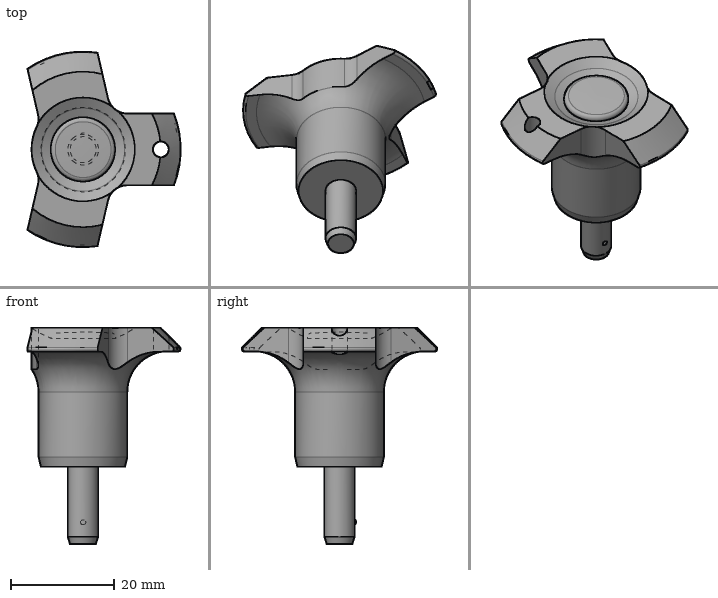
import cadquery as cq
import math

TOTAL_HEIGHT = 42.0
BODY_BOTTOM = 15.0
BODY_CHAMFER_TOP = 16.93
FLARE_START = 29.6
RIM_BOTTOM = 37.4

PIN_RADIUS = 3.0
PIN_TIP_RADIUS = 2.5
PIN_CHAMFER_HEIGHT = 1.45
BALL_RADIUS = 0.6
BALL_HEIGHT = 4.3
BALL_PROTRUSION = 0.25

BODY_RADIUS = 8.65
BODY_BOTTOM_RADIUS = 8.2
HANDLE_RADIUS = 19.005
RIM_ROUND = 0.5
HUB_RADIUS = 10.0
ARM_HALF_WIDTH = 6.995
ARM_ANGLE = math.radians(103)
ARM_FILLET = 3.8
HOLE_RADIUS = 1.5
HOLE_X = 15.1

DISH_RADIUS = 10.1
DISH_STEP_RADIUS = 8.05
DISH_STEP_DEPTH = 1.18
DISH_DEPTH = 2.0
BUTTON_RADIUS = 6.25
BUTTON_ROUND = 0.85
BUTTON_EDGE_DEPTH = 0.95
BUTTON_DOME = 0.15


def polar(radius, angle):
    return (radius * math.cos(angle), radius * math.sin(angle))


def arm_point(along, across, angle):
    """Point at a distance along an arm's axis and across it, to its left."""
    x = along * math.cos(angle) - across * math.sin(angle)
    y = along * math.sin(angle) + across * math.cos(angle)
    return (x, y)


def toward(start, end, distance):
    """Point at a distance from start on the way to end."""
    share = distance / math.dist(start, end)
    return tuple(a + (b - a) * share for a, b in zip(start, end))


def mirrored(point):
    return (point[0], -point[1])


def make_turned_body():
    """Body, flare and full round handle, with the dish and button on top."""
    flare_radius = RIM_BOTTOM - FLARE_START
    flare_center = BODY_RADIUS + flare_radius
    diagonal = math.sqrt(0.5)
    rim_x = HANDLE_RADIUS - RIM_ROUND
    rim_z = RIM_BOTTOM + RIM_ROUND
    bevel_x = rim_x + RIM_ROUND * diagonal
    bevel_z = rim_z + RIM_ROUND * diagonal
    top_radius = bevel_x - (TOTAL_HEIGHT - bevel_z)
    floor = TOTAL_HEIGHT - DISH_DEPTH
    button_edge = TOTAL_HEIGHT - BUTTON_EDGE_DEPTH
    button_flat = BUTTON_RADIUS - BUTTON_ROUND
    dome_radius = (button_flat**2 + BUTTON_DOME**2) / (2 * BUTTON_DOME)
    dome_middle = button_flat / 2
    dome_middle_z = button_edge + BUTTON_DOME - dome_radius + math.sqrt(dome_radius**2 - dome_middle**2)
    profile = (
        cq.Workplane("XZ")
        .moveTo(0, BODY_BOTTOM)
        .lineTo(BODY_BOTTOM_RADIUS, BODY_BOTTOM)
        .lineTo(BODY_RADIUS, BODY_CHAMFER_TOP)
        .lineTo(BODY_RADIUS, FLARE_START)
        .threePointArc(
            (flare_center - flare_radius * diagonal, FLARE_START + flare_radius * diagonal),
            (flare_center, RIM_BOTTOM),
        )
        .lineTo(rim_x, RIM_BOTTOM)
        .threePointArc((HANDLE_RADIUS, rim_z), (bevel_x, bevel_z))
        .lineTo(top_radius, TOTAL_HEIGHT)
        .lineTo(DISH_RADIUS, TOTAL_HEIGHT)
        .lineTo(DISH_STEP_RADIUS, TOTAL_HEIGHT - DISH_STEP_DEPTH)
        .lineTo(BUTTON_RADIUS, floor)
        .lineTo(BUTTON_RADIUS, button_edge - BUTTON_ROUND)
        .threePointArc(
            (button_flat + BUTTON_ROUND * diagonal, button_edge - BUTTON_ROUND * (1 - diagonal)),
            (button_flat, button_edge),
        )
        .threePointArc((dome_middle, dome_middle_z), (0, button_edge + BUTTON_DOME))
        .close()
    )
    return profile.revolve(360, (0, 0, 0), (0, 1, 0))


def make_arm_outline():
    """Prism with the three-armed outline, reaching past the round handle."""
    reach = HANDLE_RADIUS + 0.4

    half_gap = ARM_ANGLE / 2
    corner = polar(ARM_HALF_WIDTH / math.sin(half_gap), half_gap)
    tangent_length = ARM_FILLET / math.tan(half_gap)
    front_end = (reach, ARM_HALF_WIDTH)
    side_end = arm_point(reach, -ARM_HALF_WIDTH, ARM_ANGLE)
    front_fillet_start = toward(corner, front_end, tangent_length)
    front_fillet_end = toward(corner, side_end, tangent_length)
    front_center_distance = (ARM_HALF_WIDTH + ARM_FILLET) / math.sin(half_gap)
    front_fillet_middle = polar(front_center_distance - ARM_FILLET, half_gap)

    center_across = ARM_HALF_WIDTH + ARM_FILLET
    center_radius = HUB_RADIUS + ARM_FILLET
    center_along = math.sqrt(center_radius**2 - center_across**2)
    back_end = arm_point(reach, ARM_HALF_WIDTH, ARM_ANGLE)
    back_fillet_start = arm_point(center_along, ARM_HALF_WIDTH, ARM_ANGLE)
    back_center = arm_point(center_along, center_across, ARM_ANGLE)
    back_fillet_end = toward((0, 0), back_center, HUB_RADIUS)
    chord_middle = tuple((a + b) / 2 for a, b in zip(back_fillet_start, back_fillet_end))
    back_fillet_middle = toward(back_center, chord_middle, ARM_FILLET)

    outline = (
        cq.Workplane("XY")
        .moveTo(*front_end)
        .lineTo(*front_fillet_start)
        .threePointArc(front_fillet_middle, front_fillet_end)
        .lineTo(*side_end)
        .lineTo(*back_end)
        .lineTo(*back_fillet_start)
        .threePointArc(back_fillet_middle, back_fillet_end)
        .threePointArc((-HUB_RADIUS, 0), mirrored(back_fillet_end))
        .threePointArc(mirrored(back_fillet_middle), mirrored(back_fillet_start))
        .lineTo(*mirrored(back_end))
        .lineTo(*mirrored(side_end))
        .lineTo(*mirrored(front_fillet_end))
        .threePointArc(mirrored(front_fillet_middle), mirrored(front_fillet_start))
        .lineTo(*mirrored(front_end))
        .close()
    )
    return outline.extrude(TOTAL_HEIGHT)


def make_pin():
    """Pin with a tapered tip and one locking ball on its +Y side."""
    pin = (
        cq.Workplane("XZ")
        .polyline([
            (0, 0),
            (PIN_TIP_RADIUS, 0),
            (PIN_RADIUS, PIN_CHAMFER_HEIGHT),
            (PIN_RADIUS, BODY_BOTTOM),
            (0, BODY_BOTTOM),
        ])
        .close()
        .revolve(360, (0, 0, 0), (0, 1, 0))
    )
    ball_y = PIN_RADIUS + BALL_PROTRUSION - BALL_RADIUS
    ball = cq.Workplane("XY").sphere(BALL_RADIUS).translate((0, ball_y, BALL_HEIGHT))
    return pin.union(ball)


def make_arm_hole():
    return cq.Workplane("XY").center(HOLE_X, 0).circle(HOLE_RADIUS).extrude(TOTAL_HEIGHT)


handle = make_turned_body().intersect(make_arm_outline()).cut(make_arm_hole())
result = handle.union(make_pin())